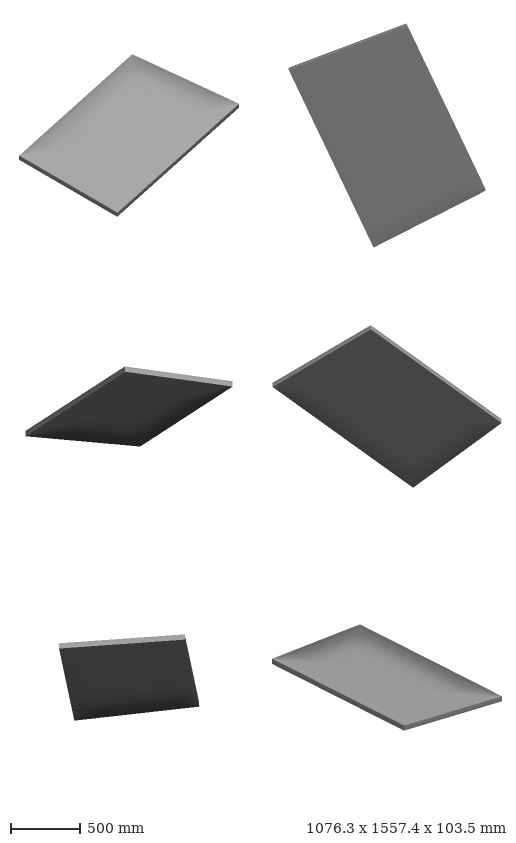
import cadquery as cq

width = 911.0
thickness = 40.0
high_edge_length = 1410.0
front_end_skew = 55.0
back_end_skew = 51.0

pitch = 4
heading = 6.7

outline = [
    (0, 0),
    (width, -front_end_skew),
    (width, high_edge_length + back_end_skew),
    (0, high_edge_length),
]
panel = cq.Workplane("XY").polyline(outline).close().extrude(-thickness)

result = panel.rotate((0, 0, 0), (0, 1, 0), pitch).rotate((0, 0, 0), (0, 0, 1), heading)